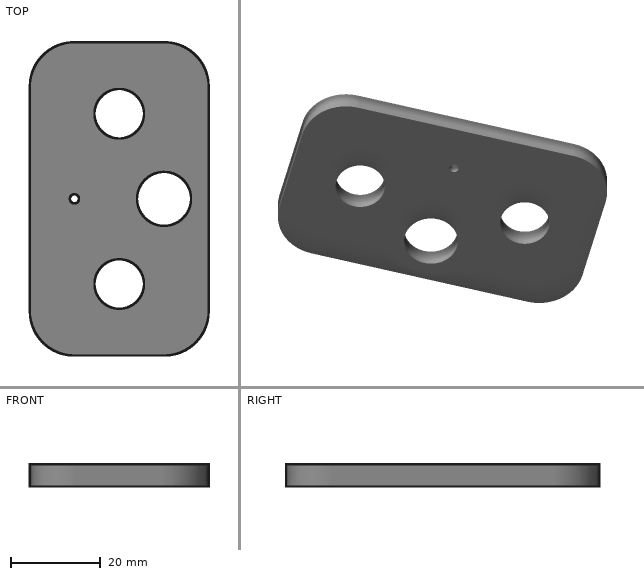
import cadquery as cq

width = 40.0
length = 70.0
thickness = 5.0
corner_radius = 10.0

end_hole_diameter = 11.0
end_hole_spacing = 38.0

large_hole_diameter = 12.0
pin_hole_diameter = 2.0
side_hole_offset = width / 4


def make_plate():
    """Flat plate with rounded vertical corners, resting on Z = 0."""
    plate = cq.Workplane("XY").box(width, length, thickness, centered=(True, True, False))
    return plate.edges("|Z").fillet(corner_radius)


def cut_through_holes(body, diameter, centers):
    """Cut equal holes through the full thickness at the given XY centers."""
    cutters = cq.Workplane("XY").pushPoints(centers).circle(diameter / 2).extrude(thickness)
    return body.cut(cutters)


end_hole_centers = [(0, side * end_hole_spacing / 2) for side in (-1, 1)]

result = make_plate()
result = cut_through_holes(result, end_hole_diameter, end_hole_centers)
result = cut_through_holes(result, large_hole_diameter, [(side_hole_offset, 0)])
result = cut_through_holes(result, pin_hole_diameter, [(-side_hole_offset, 0)])